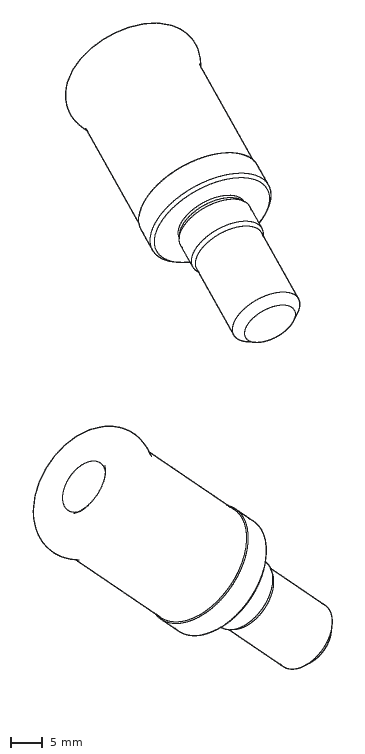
import cadquery as cq
import math


head_radius = 11.35
lip_radius = 3.95
dimple_radius = 4.5
dimple_x = 1.75
dimple_steps = 3
lip_steps = 6
barrel_radius = 20.6 / 2
taper_angle = math.radians(22.5)
neck_fillet = 1.75
seam_x = 28.8

collar_radius = 21.0 / 2
collar_end_x = 33.85
collar_chamfer = 0.5
seam_chamfer_length = 0.15
shaft_radius = 11.7 / 2
shaft_end_x = 55.85
shaft_chamfer = 1.45
shoulder_radius = 12.5 / 2
shoulder_start_x = 34.35
shoulder_end_x = 40.35
shoulder_chamfer_angle = math.radians(30)


def revolve_about_x(profile):
    """Turn a closed profile, drawn as (x, radius), about the X axis."""
    return profile.close().revolve(360, (0, 0, 0), (1, 0, 0))


def round_point(radius, centre_radius, angle):
    """Point on a round that touches X = 0, at an angle from its crest."""
    return (radius * (1 - math.cos(angle)), centre_radius + radius * math.sin(angle))


def make_bumper():
    lip_x = lip_radius
    lip_centre_radius = head_radius - lip_radius

    taper_start_x = lip_x + lip_radius * math.sin(taper_angle)
    taper_start_radius = lip_centre_radius + lip_radius * math.cos(taper_angle)
    taper_end_radius = barrel_radius + neck_fillet * (1 - math.cos(taper_angle))
    taper_length = (taper_start_radius - taper_end_radius) / math.tan(taper_angle)
    taper_end_x = taper_start_x + taper_length
    barrel_start_x = taper_end_x + neck_fillet * math.sin(taper_angle)

    dimple_offset = lip_centre_radius - dimple_radius
    dimple_round = (dimple_offset**2 + dimple_x**2) / (2 * dimple_x)
    dimple_sweep = math.asin(dimple_offset / dimple_round)
    lip_sweep = math.pi / 2 + taper_angle
    dimple_points = [
        round_point(dimple_round, lip_centre_radius, -dimple_sweep * step / dimple_steps)
        for step in range(dimple_steps, 0, -1)
    ]
    lip_points = [
        round_point(lip_radius, lip_centre_radius, lip_sweep * step / lip_steps)
        for step in range(lip_steps + 1)
    ]

    half_angle = taper_angle / 2
    fillet_mid_x = barrel_start_x - neck_fillet * math.sin(half_angle)
    fillet_mid_radius = barrel_radius + neck_fillet * (1 - math.cos(half_angle))

    profile = (
        cq.Workplane("XY")
        .moveTo(dimple_x, 0)
        .lineTo(dimple_x, dimple_radius)
        .spline(dimple_points + lip_points)
        .lineTo(taper_end_x, taper_end_radius)
        .threePointArc((fillet_mid_x, fillet_mid_radius), (barrel_start_x, barrel_radius))
        .lineTo(seam_x, barrel_radius)
        .lineTo(seam_x, 0)
    )
    return revolve_about_x(profile)


def make_stud():
    shoulder_chamfer_length = (shoulder_radius - shaft_radius) / math.tan(shoulder_chamfer_angle)
    profile = (
        cq.Workplane("XY")
        .moveTo(seam_x, 0)
        .lineTo(seam_x, barrel_radius)
        .lineTo(seam_x + seam_chamfer_length, collar_radius)
        .lineTo(collar_end_x - collar_chamfer, collar_radius)
        .lineTo(collar_end_x, collar_radius - collar_chamfer)
        .lineTo(collar_end_x, shaft_radius)
        .lineTo(shoulder_start_x, shaft_radius)
        .lineTo(shoulder_start_x + shoulder_chamfer_length, shoulder_radius)
        .lineTo(shoulder_end_x - shoulder_chamfer_length, shoulder_radius)
        .lineTo(shoulder_end_x, shaft_radius)
        .lineTo(shaft_end_x - shaft_chamfer, shaft_radius)
        .lineTo(shaft_end_x, shaft_radius - shaft_chamfer)
        .lineTo(shaft_end_x, 0)
    )
    return revolve_about_x(profile)


bumper = make_bumper()
stud = make_stud()
result = cq.Compound.makeCompound([bumper.val(), stud.val()])